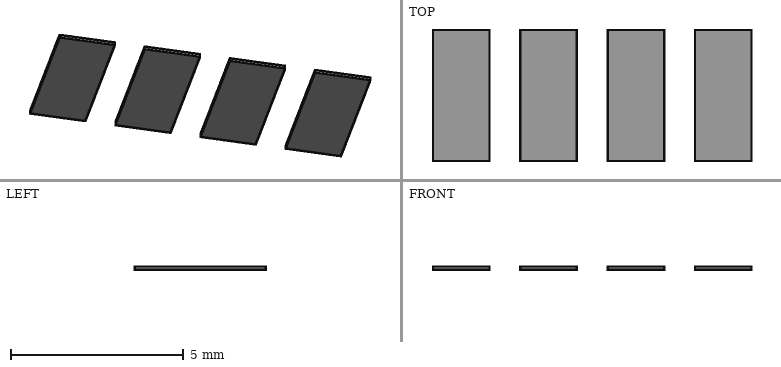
import cadquery as cq

PAD_COUNT = 4
PAD_PITCH = 2.54
PAD_WIDTH = 1.65
PAD_LENGTH = 3.81
PAD_THICKNESS = 0.1


def make_pad(center_x):
    """One plain pad lying on the XY plane, centred on Y = 0."""
    return (
        cq.Workplane("XY")
        .center(center_x, 0)
        .rect(PAD_WIDTH, PAD_LENGTH)
        .extrude(PAD_THICKNESS)
    )


first_pad_x = -PAD_PITCH * (PAD_COUNT - 1) / 2
pads = [make_pad(first_pad_x + index * PAD_PITCH) for index in range(PAD_COUNT)]

result = cq.Compound.makeCompound([pad.val() for pad in pads])